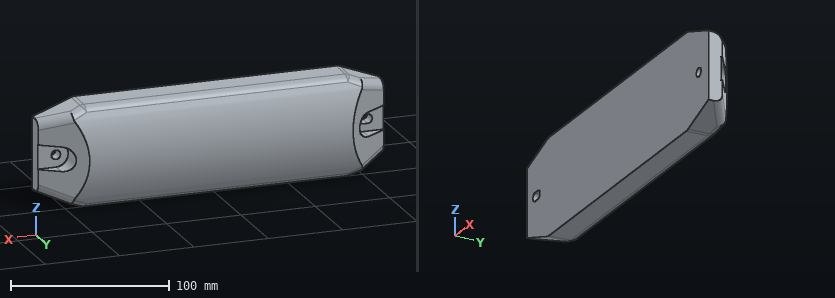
import cadquery as cq
import math

length = 233.0
height = 29.4
width = 69.0

end_width = 48.5
side_wall_length = 178.5
wall_draft = 2.0

dome_radius = 61.5
end_height = 10.0
crown_length = 177.0
rim_radius = 7.0

hole_diameter = 6.0
hole_x = 104.0
slot_length = 9.0
slot_x = -104.2
channel_width = 16.3
channel_floor = 9.3

overrun = 23.3
roof_height = 1.5 * height
margin = 2.3

half_length = length / 2
half_side_wall = side_wall_length / 2
half_crown = crown_length / 2
wall_slope = (width - end_width) / 2 / (half_length - half_side_wall)
end_slope = (height - end_height) / (half_length - half_crown)

base_plane = cq.Plane(origin=(0, 0, 0), xDir=(-1, 0, 0), normal=(0, 1, 0))


def oblique_wall_z(x):
    """Half width of the base along the oblique walls, extended both ways."""
    return end_width / 2 + (half_length - abs(x)) * wall_slope


def drafted_prism(upper_points, prism_height):
    """Prism mirrored about Z = 0 whose walls lean inward as it rises."""
    lower_points = [(x, -z) for x, z in reversed(upper_points)]
    outline = cq.Workplane(base_plane).polyline(upper_points + lower_points).close()
    return outline.extrude(prism_height, taper=wall_draft)


def box_around(half_x, low_y):
    """Selector for edges centred within half_x of the middle and above low_y."""
    return cq.selectors.BoxSelector((-half_x, low_y, -width), (half_x, height, width))


def domed_body():
    """Domed crown with rounded wall corners and rim, running past both ends."""
    far_x = half_length + overrun
    body = drafted_prism(
        [
            (-far_x, oblique_wall_z(far_x)),
            (-half_side_wall, width / 2),
            (half_side_wall, width / 2),
            (far_x, oblique_wall_z(far_x)),
        ],
        height,
    )
    dome = (
        cq.Workplane("YZ")
        .center(height - dome_radius, 0)
        .circle(dome_radius)
        .extrude(length, both=True)
    )
    body = body.intersect(dome)
    wall_corners = body.edges("not(#Y)").edges(box_around(half_side_wall + margin, margin))
    rim = body.faces("%CYLINDER").edges(box_around(half_length + margin, 0))
    return wall_corners.add(rim).fillet(rim_radius)


def end_slopes():
    """Envelope of the flat ends, the end slopes and their rounded sides."""
    body = drafted_prism(
        [
            (-half_length, end_width / 2),
            (0, oblique_wall_z(0)),
            (half_length, end_width / 2),
        ],
        roof_height,
    )
    roof_half = half_length - (roof_height - end_height) / end_slope
    roof = (
        cq.Workplane("XY")
        .polyline(
            [
                (-half_length, 0),
                (-half_length, end_height),
                (-roof_half, roof_height),
                (roof_half, roof_height),
                (half_length, end_height),
                (half_length, 0),
            ]
        )
        .close()
        .extrude(length, both=True)
    )
    body = body.intersect(roof)
    edge_x = (half_length + roof_half) / 2
    edge_y = (end_height + roof_height) / 2
    edge_z = oblique_wall_z(edge_x)
    for side in (-1, 1):
        for end in (-1, 1):
            near_edge = (end * edge_x, edge_y, side * edge_z)
            body = body.edges(cq.selectors.NearestToPointSelector(near_edge)).fillet(rim_radius)
    return body


def screw_channel(center_x):
    """Channel with a rounded inner end, open through the nearer end of the part."""
    run_out = half_length
    channel_x = center_x + math.copysign(run_out / 2, center_x)
    return (
        cq.Workplane(base_plane)
        .workplane(offset=channel_floor)
        .center(-channel_x, 0)
        .slot2D(run_out + channel_width, channel_width)
        .extrude(height)
    )


hole_start = cq.Workplane(base_plane)
round_hole = hole_start.center(-hole_x, 0).circle(hole_diameter / 2).extrude(height)
slot_hole = hole_start.center(-slot_x, 0).slot2D(slot_length, hole_diameter).extrude(height)
slot_inner_x = slot_x + (slot_length - hole_diameter) / 2

result = domed_body().intersect(end_slopes())
for channel_center in (slot_inner_x, hole_x):
    result = result.cut(screw_channel(channel_center))
result = result.cut(round_hole).cut(slot_hole)